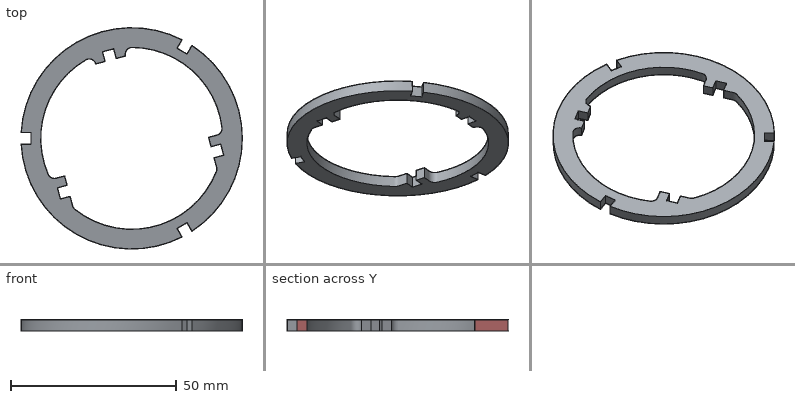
import cadquery as cq

OUTER_RADIUS = 33.5
BORE_RADIUS = 27.45
THICKNESS = 3.4

SLOT_WIDTH = 3.4
RIM_NOTCH_FLOOR = 30.5
RIM_NOTCH_ANGLES = (60, 180, 300)

TAB_PATTERN_ANGLE = 15
TAB_ROOT_FILLET = 2

TOP_TAB_WIDTH = 9.4
TOP_TAB_TIP = 24.5
TOP_SLOT_FLOOR = 27.5

SIDE_TAB_TIP = 22.5
SIDE_TAB_UPPER_EDGE = -5.7
SIDE_SLOT_CENTER = -10.4
SIDE_SLOT_FLOOR = 25.5

BORE_SEAM_ANGLE = -20


def block(x_min, x_max, y_min, y_max):
    """Full-thickness block between the given limits."""
    return (
        cq.Workplane("XY")
        .box(x_max - x_min, y_max - y_min, THICKNESS, centered=False)
        .translate((x_min, y_min, 0))
    )


def disc(radius):
    return cq.Workplane("XY").circle(radius).extrude(THICKNESS)


def turn(body, angle):
    return body.rotate((0, 0, 0), (0, 0, 1), angle)


def with_mirror_image(body):
    return body.union(body.mirror("YZ"))


def is_tab_root(edge):
    """True for the upright edges where a tab meets the bore wall."""
    center = edge.Center()
    return abs(center.x ** 2 + center.y ** 2 - BORE_RADIUS ** 2) < 0.004486


def make_opening():
    """Bore outline with its three tabs and their slots, as a solid to remove."""
    half_tab = TOP_TAB_WIDTH / 2
    half_slot = SLOT_WIDTH / 2

    top_tab = block(-half_tab, half_tab, TOP_TAB_TIP, OUTER_RADIUS)
    side_tab = block(SIDE_TAB_TIP, OUTER_RADIUS, -OUTER_RADIUS, SIDE_TAB_UPPER_EDGE)
    opening = turn(disc(BORE_RADIUS), BORE_SEAM_ANGLE)
    opening = opening.cut(top_tab).cut(with_mirror_image(side_tab))

    roots = [edge for edge in opening.edges("|Z").vals() if is_tab_root(edge)]
    opening = opening.newObject(roots).fillet(TAB_ROOT_FILLET)

    top_slot = block(-half_slot, half_slot, TOP_TAB_TIP - SLOT_WIDTH, TOP_SLOT_FLOOR)
    side_slot = block(
        SIDE_TAB_TIP - SLOT_WIDTH,
        SIDE_SLOT_FLOOR,
        SIDE_SLOT_CENTER - half_slot,
        SIDE_SLOT_CENTER + half_slot,
    )
    opening = opening.union(top_slot).union(with_mirror_image(side_slot))
    return turn(opening, TAB_PATTERN_ANGLE)


result = disc(OUTER_RADIUS).cut(make_opening())

rim_notch = block(RIM_NOTCH_FLOOR, OUTER_RADIUS + SLOT_WIDTH, -SLOT_WIDTH / 2, SLOT_WIDTH / 2)
for notch_angle in RIM_NOTCH_ANGLES:
    result = result.cut(turn(rim_notch, notch_angle))